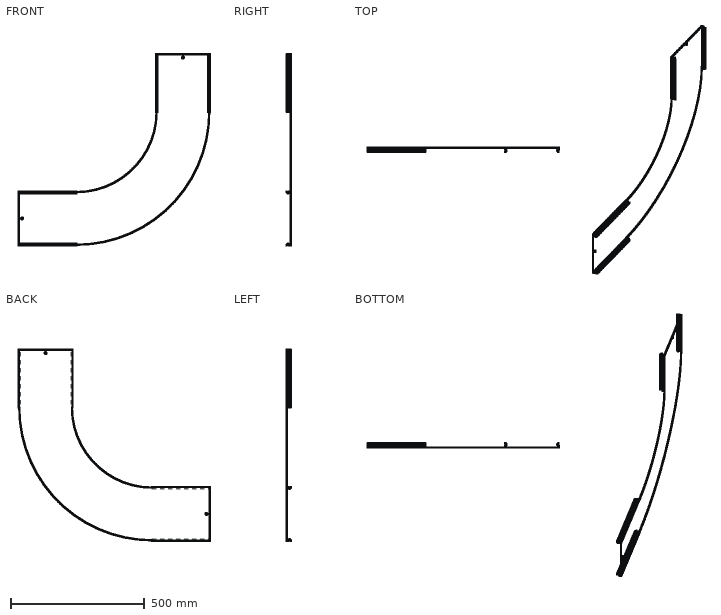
import cadquery as cq
import math

OVERALL = 718.2
DEPTH = 17.4
THICKNESS = 1.2
INNER_RADIUS = 300.0
BAND_WIDTH = 198.5
EDGE_STEP = 2.25

END_WIDTH = BAND_WIDTH + 2 * EDGE_STEP
OUTER_RADIUS = INNER_RADIUS + BAND_WIDTH
FLANGE_LENGTH = OVERALL - OUTER_RADIUS - EDGE_STEP

LEG_DEPTH = 6.9
INWARD_RUN = 5.3
LIP_CHAMFER = 2.5

HOLE_DIAMETER = 5.0
PLATE_HOLE_FROM_END = 13.3
FLANGE_HOLE_FROM_END = 18.6

DIAGONAL = math.sqrt(0.5)

HALF = OVERALL / 2
BACK = DEPTH / 2
FRONT = -DEPTH / 2
BEND_CENTRE_X = -HALF + FLANGE_LENGTH
BEND_CENTRE_Z = HALF - FLANGE_LENGTH
END_CENTRE = HALF - END_WIDTH / 2


def extrude_to_plate(outline):
    """Extrude an XZ outline from the plate's outer face through its thickness."""
    return outline.extrude(THICKNESS).translate((0, BACK, 0))


def curved_band():
    def arc_middle(radius):
        return (BEND_CENTRE_X + radius * DIAGONAL, BEND_CENTRE_Z - radius * DIAGONAL)

    outline = (
        cq.Workplane("XZ")
        .moveTo(BEND_CENTRE_X, BEND_CENTRE_Z - INNER_RADIUS)
        .threePointArc(arc_middle(INNER_RADIUS), (BEND_CENTRE_X + INNER_RADIUS, BEND_CENTRE_Z))
        .lineTo(BEND_CENTRE_X + OUTER_RADIUS, BEND_CENTRE_Z)
        .threePointArc(arc_middle(OUTER_RADIUS), (BEND_CENTRE_X, BEND_CENTRE_Z - OUTER_RADIUS))
        .close()
    )
    return extrude_to_plate(outline)


def end_plate():
    outline = (
        cq.Workplane("XZ")
        .center(END_CENTRE, HALF - FLANGE_LENGTH / 2)
        .rect(END_WIDTH, FLANGE_LENGTH)
    )
    plate = extrude_to_plate(outline)
    hole = (
        cq.Workplane("XZ")
        .center(END_CENTRE, HALF - PLATE_HOLE_FROM_END)
        .circle(HOLE_DIAMETER / 2)
    )
    return plate.cut(extrude_to_plate(hole))


def lip_corner(edge, end_z, inward):
    """Triangular cutter for the lip corner at end_z; inward is the Z direction into the flange."""
    return (
        cq.Workplane("YZ", origin=(edge, 0, 0))
        .polyline([
            (FRONT, end_z),
            (FRONT + LIP_CHAMFER, end_z),
            (FRONT, end_z + inward * LIP_CHAMFER),
        ])
        .close()
        .extrude(END_WIDTH / 2)
    )


def inner_flange():
    """Flange on the inner (-X) edge of the upright end."""
    edge = HALF - END_WIDTH
    sheet_run = THICKNESS * DIAGONAL
    bend_shift = THICKNESS * math.tan(math.pi / 8)
    apex_shift = THICKNESS * math.sqrt(2)
    bend_y = BACK - LEG_DEPTH
    apex_x = edge + INWARD_RUN
    apex_y = bend_y - INWARD_RUN
    lip_y = FRONT + sheet_run
    lip_x = apex_x - (apex_y - lip_y)
    flange = (
        cq.Workplane("XY")
        .polyline([
            (edge, BACK),
            (edge, bend_y),
            (apex_x, apex_y),
            (lip_x, lip_y),
            (lip_x + sheet_run, FRONT),
            (apex_x + apex_shift, apex_y),
            (edge + THICKNESS, bend_y + bend_shift),
            (edge + THICKNESS, BACK),
        ])
        .close()
        .extrude(FLANGE_LENGTH)
        .translate((0, 0, HALF - FLANGE_LENGTH))
    )
    drill = cq.Solid.makeCylinder(
        HOLE_DIAMETER / 2,
        2 * THICKNESS,
        cq.Vector(
            edge + INWARD_RUN / 2 - sheet_run / 2,
            bend_y - INWARD_RUN / 2 - sheet_run / 2,
            HALF - FLANGE_HOLE_FROM_END,
        ),
        cq.Vector(1, 1, 0),
    )
    flange = flange.cut(drill)
    flange = flange.cut(lip_corner(edge, HALF, -1))
    return flange.cut(lip_corner(edge, HALF - FLANGE_LENGTH, 1))


def upright_end():
    inner = inner_flange()
    outer = inner.translate((-END_CENTRE, 0, 0)).mirror("YZ").translate((END_CENTRE, 0, 0))
    return end_plate().union(inner).union(outer)


def level_end(upright):
    """The level end is the upright end mirrored about the elbow's diagonal plane X = -Z."""
    return upright.mirror(cq.Vector(1, 0, 1))


upright = upright_end()
result = curved_band().union(upright).union(level_end(upright))